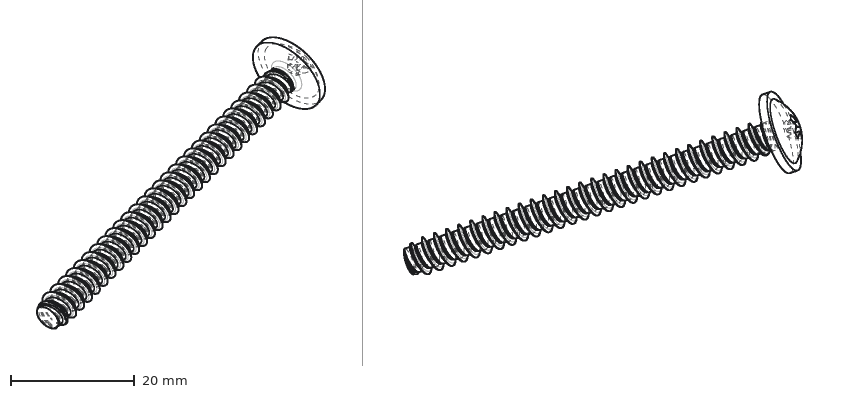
import cadquery as cq
import math

FLANGE_DIAMETER = 13.5
FLANGE_THICKNESS = 1.42
HEAD_HEIGHT = 3.96
DOME_BASE_RADIUS = 5.5

RECESS_SPAN = 4.8
RECESS_FLOOR_SPAN = 2.2
RECESS_DEPTH = 2.2
RECESS_WING_WIDTH = 1.2

SHANK_LENGTH = 65.0
NECK_RADIUS = 2.4
NECK_LENGTH = 1.3
NECK_TAPER_LENGTH = 0.4
UNDERHEAD_FILLET = 0.65
LAND_RADIUS = 2.2
GROOVE_RADIUS = 2.1

THREAD_RADIUS = 3.0
THREAD_PITCH = 2.143
THREAD_TURNS = 31
CREST_WIDTH = 0.12
KNEE_RADIUS = 2.5
KNEE_WIDTH = 0.44
ROOT_WIDTH = 0.8
FIRST_CREST_DEPTH = 1.33
GROOVE_END = 0.9
GROOVE_RUNOUT = 0.44
EMBED_RADIUS = 2.05

RUNOUT_LENGTH = 2.7
RUNOUT_TOP_DEPTH = 1.0
ENVELOPE_CLEARANCE = 0.1
RUNOUT_END_RADIUS = LAND_RADIUS + 0.03


def make_blank():
    """Turn the head, the neck and the core at groove depth about the Z axis."""
    flange_radius = FLANGE_DIAMETER / 2
    dome_height = HEAD_HEIGHT - FLANGE_THICKNESS
    dome_radius = (DOME_BASE_RADIUS**2 + dome_height**2) / (2 * dome_height)
    half_angle = math.asin(DOME_BASE_RADIUS / dome_radius) / 2
    dome_mid_x = dome_radius * math.sin(half_angle)
    dome_mid_z = HEAD_HEIGHT - dome_radius * (1 - math.cos(half_angle))
    fillet_offset = UNDERHEAD_FILLET * (1 - math.sqrt(0.5))

    profile = (
        cq.Workplane("XZ")
        .moveTo(0, -SHANK_LENGTH)
        .lineTo(GROOVE_RADIUS, -SHANK_LENGTH)
        .lineTo(GROOVE_RADIUS, -NECK_LENGTH - NECK_TAPER_LENGTH)
        .lineTo(NECK_RADIUS, -NECK_LENGTH)
        .lineTo(NECK_RADIUS, -UNDERHEAD_FILLET)
        .threePointArc(
            (NECK_RADIUS + fillet_offset, -fillet_offset),
            (NECK_RADIUS + UNDERHEAD_FILLET, 0),
        )
        .lineTo(flange_radius, 0)
        .lineTo(flange_radius, FLANGE_THICKNESS)
        .lineTo(DOME_BASE_RADIUS, FLANGE_THICKNESS)
        .threePointArc((dome_mid_x, dome_mid_z), (0, HEAD_HEIGHT))
        .close()
    )
    return profile.revolve(360, (0, 0, 0), (0, 1, 0))


def make_recess():
    """Two crossed wings that narrow towards the recess floor."""
    floor_z = HEAD_HEIGHT - RECESS_DEPTH
    wing = (
        cq.Workplane("XZ")
        .moveTo(-RECESS_FLOOR_SPAN / 2, floor_z)
        .lineTo(RECESS_FLOOR_SPAN / 2, floor_z)
        .lineTo(RECESS_SPAN / 2, HEAD_HEIGHT)
        .lineTo(-RECESS_SPAN / 2, HEAD_HEIGHT)
        .close()
        .extrude(RECESS_WING_WIDTH / 2, both=True)
    )
    return wing.union(wing.rotate((0, 0, 0), (0, 0, 1), 90))


def make_thread_envelope():
    """Turned body with conical ends that makes the thread fade into the land."""
    top = -RUNOUT_TOP_DEPTH
    bottom = -SHANK_LENGTH
    outer_radius = THREAD_RADIUS + ENVELOPE_CLEARANCE
    profile = (
        cq.Workplane("XZ")
        .moveTo(0, bottom)
        .lineTo(RUNOUT_END_RADIUS, bottom)
        .lineTo(outer_radius, bottom + RUNOUT_LENGTH)
        .lineTo(outer_radius, top - RUNOUT_LENGTH)
        .lineTo(RUNOUT_END_RADIUS, top)
        .lineTo(0, top)
        .close()
    )
    return profile.revolve(360, (0, 0, 0), (0, 1, 0))


def make_thread():
    """Sweep the land and thread ridge along a helix and trim them to the envelope.

    Successive turns leave a narrow gap, which forms the relief groove.
    """
    start_z = -FIRST_CREST_DEPTH - (THREAD_TURNS - 1) * THREAD_PITCH
    flare = (ROOT_WIDTH - KNEE_WIDTH) / (KNEE_RADIUS - LAND_RADIUS)
    embedded_width = ROOT_WIDTH + flare * (LAND_RADIUS - EMBED_RADIUS)
    land_start = GROOVE_END - THREAD_PITCH

    helix = cq.Wire.makeHelix(
        THREAD_PITCH, THREAD_TURNS * THREAD_PITCH, LAND_RADIUS, cq.Vector(0, 0, start_z)
    )
    section = (
        cq.Workplane("XZ", origin=(0, 0, start_z))
        .moveTo(EMBED_RADIUS, land_start - GROOVE_RUNOUT)
        .lineTo(LAND_RADIUS, land_start)
        .lineTo(LAND_RADIUS, -ROOT_WIDTH / 2)
        .lineTo(KNEE_RADIUS, -KNEE_WIDTH / 2)
        .lineTo(THREAD_RADIUS, -CREST_WIDTH / 2)
        .lineTo(THREAD_RADIUS, CREST_WIDTH / 2)
        .lineTo(KNEE_RADIUS, KNEE_WIDTH / 2)
        .lineTo(EMBED_RADIUS, embedded_width / 2)
        .close()
    )
    ridge = section.sweep(cq.Workplane(obj=helix), isFrenet=True)
    return ridge.intersect(make_thread_envelope())


head_and_core = make_blank().cut(make_recess())
screw = head_and_core.union(make_thread())
result = screw.rotate((0, 0, 0), (1, 0, 0), -90)